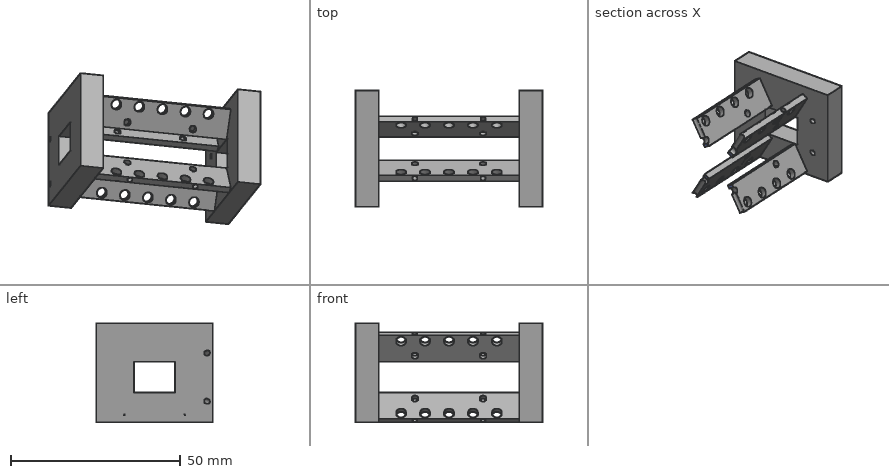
import cadquery as cq
import math

overall_length = 55.35
plate_width = 34.5
plate_height = 29.35
plate_thickness = 7.0
plate_rise = 1.35
window_width = 12.0
window_height = 9.0

oblique_diameter = 1.5
oblique_y = -15.55
oblique_z = 7.15
oblique_overrun = 1.1

rail_width = 9.0
rail_thickness = 2.0
rail_tilt = 60.0
rail_center_y = 6.55
rail_length = overall_length - 2 * plate_thickness

hole_row_offset = 2.5
large_hole_diameter = 3.0
large_hole_pitch = 7.1
large_hole_count = 5
small_hole_diameter = 2.0
small_hole_x = 10.1
edge_hole_diameter = 1.5

plate_bottom = plate_rise - plate_height / 2
tilt = math.radians(rail_tilt)
rail_half_height = (rail_width * math.sin(tilt) + rail_thickness * math.cos(tilt)) / 2
rail_center_z = -plate_bottom - rail_half_height


def make_oblique_cutter(end, z_side):
    """Cylinder from just outside an end plate to the origin."""
    outer_point = cq.Vector(end * overall_length / 2, oblique_y, z_side * oblique_z)
    start = outer_point * oblique_overrun
    return cq.Solid.makeCylinder(oblique_diameter / 2, start.Length, start, start * -1)


def make_end_plate(end):
    """Windowed end plate; end is -1 or +1 along X."""
    plate_x = end * (overall_length - plate_thickness) / 2
    plate = cq.Workplane("XY").box(plate_thickness, plate_width, plate_height)
    plate = plate.translate((plate_x, 0, plate_rise))
    window = cq.Workplane("XY").box(plate_thickness, window_width, window_height)
    plate = plate.cut(window.translate((plate_x, 0, 0)))
    for z_side in (-1, 1):
        plate = plate.cut(make_oblique_cutter(end, z_side))
    return plate


def make_flat_rail():
    """Untilted rail with its width along Y and its outer edge at +Y."""
    small_hole_points = [(side * small_hole_x, -hole_row_offset) for side in (-1, 1)]
    edge_hole_points = [(side * small_hole_x, 0) for side in (-1, 1)]
    edge_hole_depth = rail_width / 2 + hole_row_offset

    rail = cq.Workplane("XY").box(rail_length, rail_width, rail_thickness)
    large_holes = (
        cq.Workplane("XY", origin=(0, 0, -rail_thickness / 2))
        .center(0, hole_row_offset)
        .rarray(large_hole_pitch, 0.55, large_hole_count, 1)
        .circle(large_hole_diameter / 2)
        .extrude(rail_thickness)
    )
    small_holes = (
        cq.Workplane("XY", origin=(0, 0, -rail_thickness / 2))
        .pushPoints(small_hole_points)
        .circle(small_hole_diameter / 2)
        .extrude(rail_thickness)
    )
    edge_holes = (
        cq.Workplane("XZ", origin=(0, rail_width / 2, 0))
        .pushPoints(edge_hole_points)
        .circle(edge_hole_diameter / 2)
        .extrude(edge_hole_depth)
    )
    return rail.cut(large_holes).cut(small_holes).cut(edge_holes)


def make_rail(y_side, z_side):
    """Rail leaning outward in the given Y and Z quadrant."""
    outward_angle = math.degrees(math.atan2(z_side * math.sin(tilt), y_side * math.cos(tilt)))
    rail = make_flat_rail().rotate((0, 0, 0), (1, 0, 0), outward_angle)
    return rail.translate((0, y_side * rail_center_y, z_side * rail_center_z))


end_plates = [make_end_plate(end) for end in (-1, 1)]
rails = [make_rail(y_side, z_side) for y_side in (-1, 1) for z_side in (-1, 1)]

result = cq.Compound.makeCompound([body.val() for body in end_plates + rails])